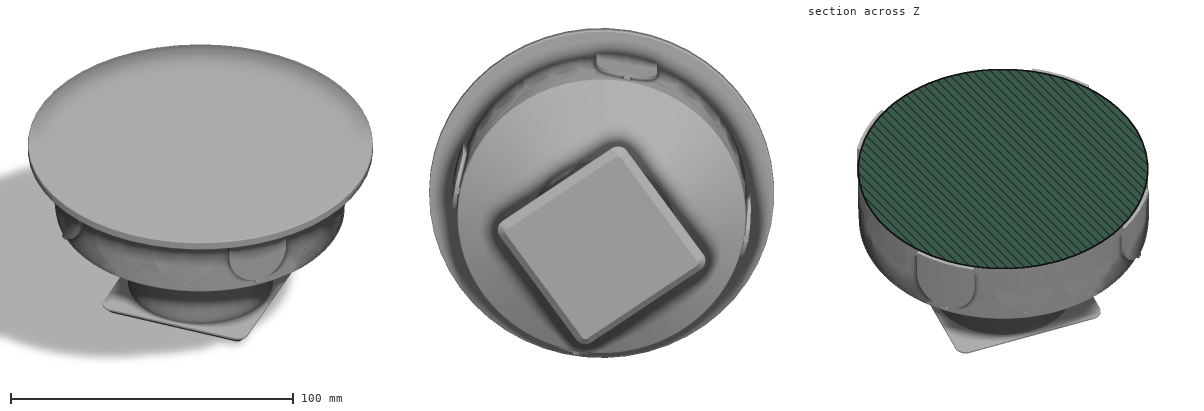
import cadquery as cq

TOTAL_HEIGHT = 63.4
LID_THICKNESS = 3.3
LID_BOTTOM = TOTAL_HEIGHT - LID_THICKNESS
DRUM_BOTTOM = 35.0
NECK_TOP = 20.5
PLATE_THICKNESS = 3.3

LID_RADIUS = 61.0
LID_EDGE_RADIUS = 0.5

DRUM_TOP_RADIUS = 51.3
DRUM_BOTTOM_RADIUS = 51.0
DRUM_EDGE_RADIUS = 1.0
NECK_TOP_RADIUS = 26.0
NECK_BOTTOM_RADIUS = 25.6
NECK_FILLET = 1.5

EDGE_MARGIN = 0.1

PLATE_WIDTH = 54.9
PLATE_CORNER_RADIUS = 3.9
PLATE_RIM = 0.6
PLATE_BEVEL = PLATE_THICKNESS - PLATE_RIM

PANEL_WIDTH = 21.7
PANEL_HEIGHT = 21.5
PANEL_TOP_GAP = 0.2
PANEL_TOP = LID_BOTTOM - PANEL_TOP_GAP
PANEL_BOTTOM = LID_BOTTOM - PANEL_HEIGHT
THICK_PANEL_RADIUS = 52.7
THIN_PANEL_STEP = 0.1
QUADRANTS = 4
QUADRANT_ANGLE = 360 / QUADRANTS
THICK_PANEL_ANGLE = QUADRANT_ANGLE / 2
THIN_PANEL_ANGLES = [-12.5, 15.0]

POINTER_WIDTH = 2.2
POINTER_GAP = 0.6
POINTER_HEIGHT = 1.0
POINTER_TOP = PANEL_BOTTOM - POINTER_GAP
POINTER_BOTTOM = POINTER_TOP - POINTER_HEIGHT
STEM_WIDTH = 1.0
STEM_OVERLAP = 0.6


def make_lid():
    """Round cover resting on the top of the drum."""
    lid = cq.Workplane("XY").workplane(offset=LID_BOTTOM).circle(LID_RADIUS).extrude(LID_THICKNESS)
    return lid.edges().fillet(LID_EDGE_RADIUS)


def edge_ring(height):
    """Selector for the circular edge at a height."""
    return cq.selectors.BoxSelector(
        (-LID_RADIUS, -LID_RADIUS, height - EDGE_MARGIN), (LID_RADIUS, LID_RADIUS, height + EDGE_MARGIN)
    )


def make_turned_body():
    """Drum, funnel and neck turned around the Z axis."""
    body = (
        cq.Workplane("XZ")
        .moveTo(0, PLATE_THICKNESS)
        .lineTo(NECK_BOTTOM_RADIUS, PLATE_THICKNESS)
        .lineTo(NECK_TOP_RADIUS, NECK_TOP)
        .lineTo(DRUM_BOTTOM_RADIUS, DRUM_BOTTOM)
        .lineTo(DRUM_TOP_RADIUS, LID_BOTTOM)
        .lineTo(0, LID_BOTTOM)
        .close()
        .revolve(360, (0, 0, 0), (0, 1, 0))
    )
    body = body.edges(edge_ring(NECK_TOP)).fillet(NECK_FILLET)
    return body.edges(edge_ring(DRUM_BOTTOM)).fillet(DRUM_EDGE_RADIUS)


def make_base_plate():
    """Square plate with rounded corners, bevelled towards its underside."""
    return (
        cq.Workplane("XY")
        .rect(PLATE_WIDTH, PLATE_WIDTH)
        .extrude(PLATE_THICKNESS)
        .edges("|Z")
        .fillet(PLATE_CORNER_RADIUS)
        .faces("<Z")
        .chamfer(PLATE_BEVEL)
    )


def make_panel_block():
    """Arched block reaching from the Z axis out past the drum towards -Y."""
    half_width = PANEL_WIDTH / 2
    arch_center = PANEL_BOTTOM + half_width
    return (
        cq.Workplane("XZ")
        .moveTo(-half_width, PANEL_TOP)
        .lineTo(-half_width, arch_center)
        .threePointArc((0, PANEL_BOTTOM), (half_width, arch_center))
        .lineTo(half_width, PANEL_TOP)
        .close()
        .extrude(LID_RADIUS)
    )


def make_pointer_block(width, top):
    """Rectangular block ending at the underside of the pointer."""
    height = top - POINTER_BOTTOM
    return (
        cq.Workplane("XZ")
        .center(0, POINTER_BOTTOM + height / 2)
        .rect(width, height)
        .extrude(LID_RADIUS)
    )


def make_outer_cone(bottom_radius, top_radius):
    """Turned solid whose side wall is the outer face of a panel."""
    return (
        cq.Workplane("XZ")
        .moveTo(0, DRUM_BOTTOM)
        .lineTo(bottom_radius, DRUM_BOTTOM)
        .lineTo(top_radius, LID_BOTTOM)
        .lineTo(0, LID_BOTTOM)
        .close()
        .revolve(360, (0, 0, 0), (0, 1, 0))
    )


def make_thick_panel():
    """Panel standing well clear of the drum, joined to its pointer by a stem."""
    bar = make_pointer_block(POINTER_WIDTH, POINTER_TOP)
    stem = make_pointer_block(STEM_WIDTH, PANEL_BOTTOM + STEM_OVERLAP)
    block = make_panel_block().union(bar).union(stem)
    return block.intersect(make_outer_cone(THICK_PANEL_RADIUS, THICK_PANEL_RADIUS))


def make_thin_panel():
    """Panel raised slightly from the drum, following its taper, with a separate pointer bar."""
    block = make_panel_block().union(make_pointer_block(POINTER_WIDTH, POINTER_TOP))
    outer_cone = make_outer_cone(
        DRUM_BOTTOM_RADIUS + THIN_PANEL_STEP, DRUM_TOP_RADIUS + THIN_PANEL_STEP
    )
    return block.intersect(outer_cone)


def turned(panel, angle):
    """Copy of a panel turned about the Z axis, counted from the -Y direction."""
    return panel.rotate((0, 0, 0), (0, 0, 1), angle)


def make_housing():
    """Drum, neck and base plate in one piece, with the panels around the drum."""
    housing = make_turned_body().union(make_base_plate())
    thick_panel = make_thick_panel()
    thin_panel = make_thin_panel()
    for quadrant in range(QUADRANTS):
        start = quadrant * QUADRANT_ANGLE
        housing = housing.union(turned(thick_panel, start + THICK_PANEL_ANGLE))
        for angle in THIN_PANEL_ANGLES:
            housing = housing.union(turned(thin_panel, start + angle))
    return housing


lid = make_lid()
housing = make_housing()
result = cq.Compound.makeCompound([lid.val(), *housing.vals()])